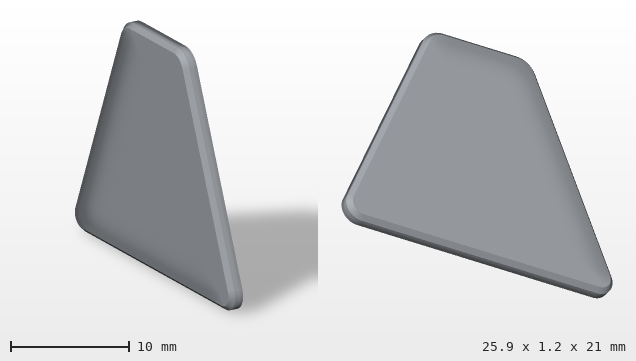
import cadquery as cq
import math

width = 25.95
height = 21.0
thickness = 1.2
side_lean = 22.8
bottom_radius = 1.5
top_radius = 2.0
chamfer = 0.42

lean = math.radians(side_lean)
bottom_turn = math.pi / 2 + lean
bottom_setback = bottom_radius * math.tan(bottom_turn / 2)
half_base = width / 2 - bottom_radius + bottom_setback
half_top = half_base - height * math.tan(lean)


def make_plate():
    """Upright trapezoidal plate, centred on the origin, with rounded corners."""
    corners = [
        (-half_base, -height / 2),
        (half_base, -height / 2),
        (half_top, height / 2),
        (-half_top, height / 2),
    ]
    plate = (
        cq.Workplane("XZ", origin=(0, thickness / 2, 0))
        .polyline(corners)
        .close()
        .extrude(thickness)
    )
    plate = plate.faces("<Z").edges("|Y").fillet(bottom_radius)
    return plate.faces(">Z").edges("|Y").fillet(top_radius)


result = make_plate().faces("<Y").chamfer(chamfer)